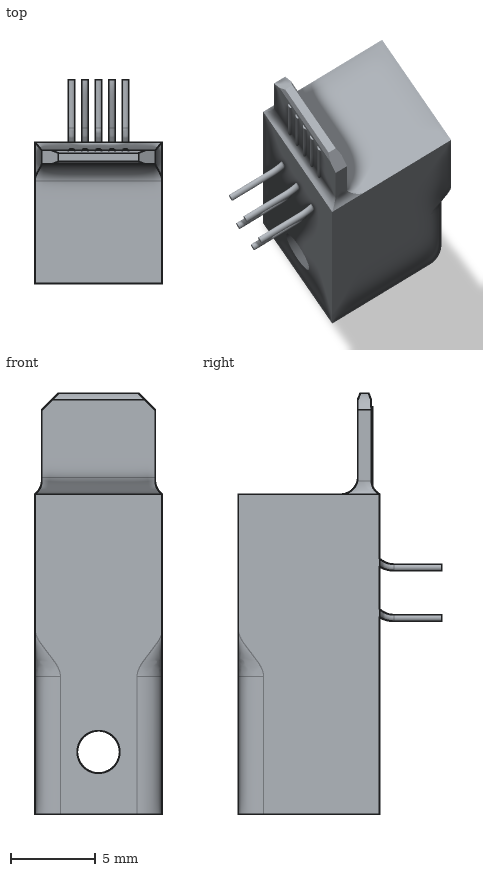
import cadquery as cq
import math


block_width = 7.55
block_depth = 8.4
block_height = 19.0

tab_top = 25.0
tab_side_inset = 0.4
tab_width = block_width - 2 * tab_side_inset
tab_back_inset = 0.5
tab_thickness = 0.8
tab_front_inset = tab_back_inset + tab_thickness
tab_corner_chamfer = 1.0
tab_bevel_height = 0.4
tab_bevel_depth = 0.15
flare_radius = 1.0

hole_diameter = 2.5
hole_height = 3.7

corner_radius = 1.5
corner_full_top = 8.2
corner_runout_top = 11.0
runout_steps = 8
smallest_step_radius = 0.01

pin_diameter = 0.4
pin_count = 5
pin_pitch = 0.8
pin_tip_reach = 3.7
pin_straight_length = 2.85
pin_leg_inset = 0.6
pin_leg_top = 24.2
upper_row_height = 14.65
row_pitch = 3.0
lower_row_height = upper_row_height - row_pitch


def flare_point(angle):
    """Outward offset and drop along a flare arc, at an angle down from its upper end."""
    return flare_radius * (1 - math.cos(angle)), flare_radius * math.sin(angle)


def flare_to_edge(inset):
    """Midpoint offset, midpoint drop and full drop of the arc that flares out to the block's edge."""
    full_angle = math.acos(1 - inset / flare_radius)
    mid_offset, mid_drop = flare_point(full_angle / 2)
    return mid_offset, mid_drop, flare_radius * math.sin(full_angle)


def make_tab():
    """Tab with flared foot: where its width profile and its thickness profile overlap."""
    half_width = tab_width / 2
    half_block = block_width / 2
    mid_offset, mid_drop, drop = flare_to_edge(tab_side_inset)
    flare_start = block_height + drop
    flare_mid = flare_start - mid_drop
    chamfer_start = tab_top - tab_corner_chamfer
    half_top = half_width - tab_corner_chamfer
    width_profile = (
        cq.Workplane("XZ")
        .moveTo(-half_block, block_height)
        .lineTo(half_block, block_height)
        .threePointArc((half_width + mid_offset, flare_mid), (half_width, flare_start))
        .lineTo(half_width, chamfer_start)
        .lineTo(half_top, tab_top)
        .lineTo(-half_top, tab_top)
        .lineTo(-half_width, chamfer_start)
        .lineTo(-half_width, flare_start)
        .threePointArc((-half_width - mid_offset, flare_mid), (-half_block, block_height))
        .close()
        .extrude(block_depth)
    )

    mid_offset, mid_drop, drop = flare_to_edge(tab_back_inset)
    front_mid_offset, front_mid_drop, front_drop = flare_to_edge(flare_radius)
    back = -tab_back_inset
    front = -tab_front_inset
    back_flare_start = block_height + drop
    front_flare_start = block_height + front_drop
    bevel_start = tab_top - tab_bevel_height
    thickness_profile = (
        cq.Workplane("YZ")
        .moveTo(front - flare_radius, block_height)
        .lineTo(0, block_height)
        .threePointArc((back + mid_offset, back_flare_start - mid_drop), (back, back_flare_start))
        .lineTo(back, bevel_start)
        .lineTo(back - tab_bevel_depth, tab_top)
        .lineTo(front + tab_bevel_depth, tab_top)
        .lineTo(front, bevel_start)
        .lineTo(front, front_flare_start)
        .threePointArc(
            (front - front_mid_offset, front_flare_start - front_mid_drop),
            (front - flare_radius, block_height),
        )
        .close()
        .extrude(half_block, both=True)
    )
    return width_profile.intersect(thickness_profile)


def corner_section(radius, height):
    """Outline of what a rounded corner of this radius removes from the +X front corner."""
    side = block_width / 2
    front = -block_depth
    arc_mid = radius * (1 - math.sqrt(0.5))
    return (
        cq.Workplane("XY", origin=(0, 0, height))
        .moveTo(side - radius, front)
        .lineTo(side, front)
        .lineTo(side, front + radius)
        .threePointArc((side - arc_mid, front + arc_mid), (side - radius, front))
        .close()
    )


def make_corner_cutters():
    """Cutters for the +X front corner: the even round below and the run-out above it."""
    even_part = corner_section(corner_radius, 0).extrude(corner_full_top)
    runout_wires = []
    for step in range(runout_steps + 1):
        rise = step / runout_steps
        height = corner_full_top + rise * (corner_runout_top - corner_full_top)
        fade = 1 - rise**2 * (3 - 2 * rise)
        radius = max(corner_radius * fade, smallest_step_radius)
        runout_wires.append(corner_section(radius, height).wires().val())
    runout = cq.Workplane(cq.Solid.makeLoft(runout_wires))
    return [even_part, runout]


def make_housing():
    housing = cq.Workplane("XY").box(
        block_width, block_depth, block_height, centered=(True, False, False)
    ).translate((0, -block_depth, 0))
    housing = housing.union(make_tab())
    for cutter in make_corner_cutters():
        housing = housing.cut(cutter).cut(cutter.mirror("YZ"))
    hole = (
        cq.Workplane("XZ")
        .center(0, hole_height)
        .circle(hole_diameter / 2)
        .extrude(block_depth)
    )
    return housing.cut(hole)


def make_pin(x, row_height):
    """Round pin: level from its tip, bent upwards inside the block, then straight up into the tab."""
    bend_start = pin_tip_reach - pin_straight_length
    bend_radius = bend_start + pin_leg_inset
    bend_top = row_height + bend_radius
    bend_mid = bend_radius * math.sqrt(0.5)
    path = (
        cq.Workplane("YZ", origin=(x, 0, 0))
        .moveTo(pin_tip_reach, row_height)
        .lineTo(bend_start, row_height)
        .threePointArc((bend_start - bend_mid, bend_top - bend_mid), (-pin_leg_inset, bend_top))
        .lineTo(-pin_leg_inset, pin_leg_top)
    )
    return (
        cq.Workplane("XZ", origin=(x, pin_tip_reach, row_height))
        .circle(pin_diameter / 2)
        .sweep(path)
    )


pins = []
for index in range(pin_count):
    pin_x = (index - (pin_count - 1) / 2) * pin_pitch
    in_upper_row = index % 2 == 0
    pins.append(make_pin(pin_x, upper_row_height if in_upper_row else lower_row_height))

housing = make_housing()
for pin in pins:
    housing = housing.cut(pin)

result = cq.Compound.makeCompound([housing.solids().val(), *[pin.val() for pin in pins]])